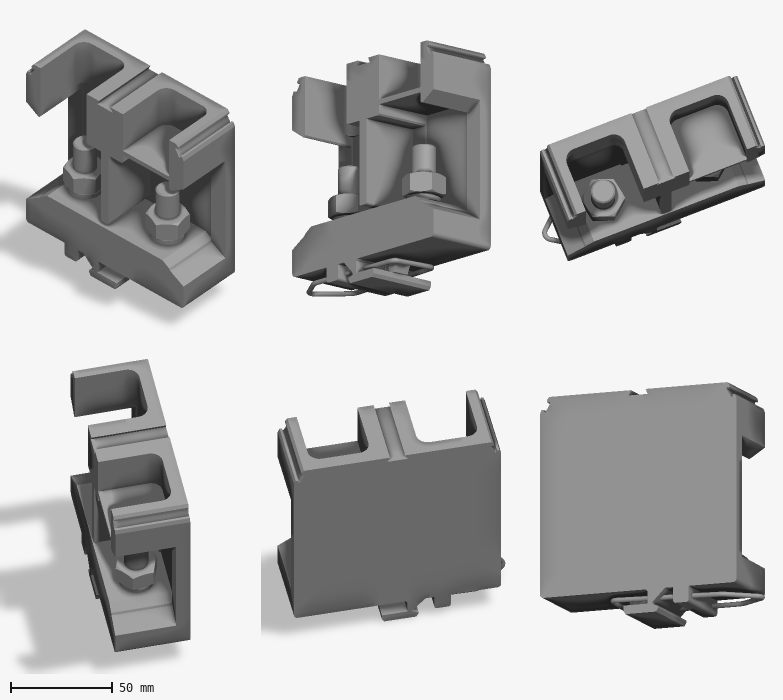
import cadquery as cq
import math


width = 104.9
depth = 38.0
housing_top = 101.4
half_width = width / 2
bottom_fillet = 2.0

bay_center_x = 27.5
bay_width = 30.7
bay_depth = 31.4
bay_fillet = 5.9
bay_inner_x = bay_center_x - bay_width / 2
bay_outer_x = bay_center_x + bay_width / 2
shelf_bottom = 75.7
shelf_thickness = 2.6

window_depth = 30.9
recess_depth = 31.8
base_top = 23.4
block_bottom = 70.3
block_chamfer = 0.8
window_outer_top = 75.4
window_outer_bottom = 14.1
slope_end_x = 44.3
base_flat_half_width = 38.4
ledge_top = 20.5
ledge_bottom = 19.5
ledge_width = 0.7

partition_thickness = 5.1
partition_bottom = 26.7
partition_fillet = 1.0

groove_top_width = 7.7
groove_bottom_width = 10.2
groove_depth = 2.6

peg_left = -26.9
peg_right = -18.7
peg_bottom = -8.0
peg_fillet = 1.4
foot_bottom = -11.6
foot_slot_bottom = -7.2
foot_stem_right = -5.1

stud_diameter = 12.0
stud_y = 15.9
stud_top = 53.8
stud_chamfer = 0.8
stud_embed = 1.1
nut_across_flats = 19.0
nut_bottom = 28.4
nut_top = 38.4
nut_angle = 40.0
nut_chamfer_angle = 30.0
washer_width = 2.8
washer_overlap = 0.1
washer_split_angle = 155.0

wire_diameter = 2.5
wire_z = -4.0
wire_front_y = 5.8
wire_back_y = 32.5
wire_tip_x = -59.8
wire_tip_y = 17.0
wire_shoulder_x = -42.7
wire_end_x = 16.5
wire_back_sag = 0.3
wire_back_rise = 1.0
wire_tip_bend = 3.4
wire_shoulder_bend = 6.8
wire_end_bend = 2.8
coil_wire_diameter = 0.7
coil_radius = 2.6
coil_z = -4.1
coil_turns = 4
coil_embed = 0.6
latch_y = 17.0
plunger_left = 2.7
plunger_width = 9.0
plunger_round = 3.2


def prism(points, length, start=0.0):
    """Extrude an XZ outline along +Y from Y = start."""
    plane = cq.Workplane("XZ", origin=(0, start, 0))
    return plane.polyline(points).close().extrude(-length)


def mirrored(right_half):
    """Complete a right-hand chain of points with its mirror image across X = 0."""
    return right_half + [(-x, z) for x, z in reversed(right_half)]


def housing_blank():
    """Outer outline with the marker-strip hooks at both upper corners."""
    right_half = [
        (half_width, 0),
        (half_width, 92.9),
        (51.5, 95.1),
        (50.3, 95.1),
        (50.2, 94.1),
        (49.5, 93.7),
        (46.9, 98.2),
        (47.5, 98.9),
        (48.2, 98.5),
        (48.7, 98.9),
        (48.7, 99.8),
        (47.5, housing_top),
    ]
    blank = prism(mirrored(right_half), depth)
    blank = blank.edges("|Y and <Z").fillet(bottom_fillet)
    groove = [
        (groove_bottom_width / 2, housing_top - groove_depth),
        (groove_top_width / 2, housing_top),
    ]
    return blank.cut(prism(mirrored(groove), depth))


def window():
    """Opening from side to side, bounded by the base below and the block above."""
    lower = [
        (base_flat_half_width, base_top),
        (bay_outer_x, ledge_top),
        (bay_outer_x + ledge_width, ledge_bottom),
        (half_width, window_outer_bottom),
    ]
    upper = [
        (half_width, window_outer_top),
        (slope_end_x, block_bottom),
        (bay_outer_x + block_chamfer, block_bottom),
        (bay_outer_x, block_bottom + block_chamfer),
        (bay_outer_x, shelf_bottom),
        (bay_inner_x, shelf_bottom),
        (bay_inner_x, block_bottom + block_chamfer),
        (bay_inner_x - block_chamfer, block_bottom),
    ]
    return prism(mirrored(lower + upper), window_depth)


def bay_pocket(center_x, bottom):
    """Pocket open to the top and front, with rounded rear corners."""
    height = housing_top - bottom
    pocket = cq.Workplane("XY").box(bay_width, bay_depth, height, centered=(True, False, False))
    pocket = pocket.edges("|Z and >Y").fillet(bay_fillet)
    return pocket.translate((center_x, 0, bottom))


def bay_recess(center_x):
    """Shallow recess in the rear wall of the window, as wide as the bay."""
    outline = [
        (bay_width / 2, ledge_top),
        (bay_width / 2, shelf_bottom),
        (-bay_width / 2, shelf_bottom),
        (-bay_width / 2, base_top),
        (bay_width / 2 - (bay_outer_x - base_flat_half_width), base_top),
    ]
    side = math.copysign(1, center_x)
    points = [(center_x + side * x, z) for x, z in outline]
    return prism(points, recess_depth - window_depth, window_depth)


def partition():
    """Thin wall hanging from the block, stopping short of the base."""
    height = block_bottom - partition_bottom
    wall = cq.Workplane("XY").box(partition_thickness, depth, height, centered=(True, False, False))
    wall = wall.edges("|Y and <Z").fillet(partition_fillet)
    return wall.translate((0, 0, partition_bottom))


def rail_foot():
    """Locating peg and hooked foot below the base."""
    peg_size = (peg_right - peg_left, depth, -peg_bottom)
    peg = cq.Workplane("XY").box(*peg_size, centered=False)
    peg = peg.edges("|Y and <Z").fillet(peg_fillet)
    hook = [
        (-14.2, 0),
        (-7.6, -6.7),
        (-7.6, -7.6),
        (-10.6, -8.8),
        (-10.6, -9.7),
        (-9.4, foot_bottom),
        (6.8, foot_bottom),
        (7.9, -10.0),
        (7.9, foot_slot_bottom),
        (foot_stem_right, foot_slot_bottom),
        (foot_stem_right, -1.0),
        (-4.1, 0),
    ]
    return peg.translate((peg_left, 0, peg_bottom)).union(prism(hook, depth))


def nut():
    """Hexagon nut with both ends chamfered on a cone."""
    corner_radius = nut_across_flats / 2 / math.cos(math.pi / 6)
    flat_radius = nut_across_flats / 2
    cone_drop = (corner_radius - flat_radius) * math.tan(math.radians(nut_chamfer_angle))
    height = nut_top - nut_bottom
    hexagon = cq.Workplane("XY").polygon(6, 2 * corner_radius).extrude(height)
    hexagon = hexagon.rotate((0, 0, 0), (0, 0, 1), nut_angle)
    envelope = (
        cq.Workplane("XY")
        .circle(corner_radius)
        .extrude(height)
        .faces("<Z or >Z")
        .chamfer(cone_drop, corner_radius - flat_radius)
    )
    return hexagon.intersect(envelope).translate((0, 0, nut_bottom))


def spring_washer():
    """Split lock washer: one left-handed turn of a rectangular bar."""
    pitch = (nut_bottom - base_top) / 2
    inner_radius = stud_diameter / 2 - washer_overlap
    helix = cq.Wire.makeHelix(pitch, pitch, inner_radius, lefthand=True)
    ring = (
        cq.Workplane("XZ")
        .moveTo(inner_radius, 0)
        .rect(washer_width + washer_overlap, pitch, centered=False)
        .sweep(cq.Workplane(helix), isFrenet=True)
    )
    return ring.rotate((0, 0, 0), (0, 0, 1), washer_split_angle).translate((0, 0, base_top))


def stud_assembly():
    """Threaded stud on the Z axis with its nut and washer."""
    stud = cq.Workplane("XY").circle(stud_diameter / 2).extrude(stud_top - base_top + stud_embed)
    stud = stud.faces(">Z").chamfer(stud_chamfer).translate((0, 0, base_top - stud_embed))
    return stud.union(nut()).union(spring_washer())


def bend(before, corner, after, radius):
    """Arc that rounds a corner of the wire; gives its first, middle and last points."""
    inward = (before - corner).normalized()
    outward = (after - corner).normalized()
    half_angle = inward.getAngle(outward) / 2
    tangent_length = radius / math.tan(half_angle)
    middle_distance = radius / math.sin(half_angle) - radius
    middle = corner + (inward + outward).normalized() * middle_distance
    return corner + inward * tangent_length, middle, corner + outward * tangent_length


def latch_wire():
    """Closed loop of round wire with a pointed grip, passing through the foot."""
    start = cq.Vector((peg_left + peg_right) / 2, wire_front_y, wire_z)
    corners = [
        (cq.Vector(wire_end_x, wire_front_y, wire_z), wire_end_bend),
        (cq.Vector(wire_end_x, wire_back_y, wire_z + wire_back_rise), wire_end_bend),
        (cq.Vector(wire_shoulder_x, wire_back_y, wire_z - wire_back_sag), wire_shoulder_bend),
        (cq.Vector(wire_tip_x, wire_tip_y, wire_z), wire_tip_bend),
        (cq.Vector(wire_shoulder_x, wire_front_y, wire_z), wire_shoulder_bend),
    ]
    points = [start] + [corner for corner, _ in corners] + [start]
    edges = []
    position = start
    for index, (corner, radius) in enumerate(corners, start=1):
        first, middle, last = bend(points[index - 1], corner, points[index + 1], radius)
        edges.append(cq.Edge.makeLine(position, first))
        edges.append(cq.Edge.makeThreePointArc(first, middle, last))
        position = last
    edges.append(cq.Edge.makeLine(position, start))
    path = cq.Wire.assembleEdges(edges)
    section = cq.Workplane("YZ", origin=start.toTuple()).circle(wire_diameter / 2)
    return section.sweep(cq.Workplane(path))


def latch_spring():
    """Coil along X between the foot stem and the plunger."""
    length = plunger_left - foot_stem_right + 2 * coil_embed
    origin = cq.Vector(foot_stem_right - coil_embed, latch_y, coil_z)
    helix = cq.Wire.makeHelix(length / coil_turns, length, coil_radius)
    coil = (
        cq.Workplane("XZ")
        .center(coil_radius, 0)
        .circle(coil_wire_diameter / 2)
        .sweep(cq.Workplane(helix), isFrenet=True)
    )
    return coil.rotate((0, 0, 0), (0, 1, 0), 90).translate(origin)


def plunger():
    """Sliding block under the base, rounded towards the spring."""
    outline = [
        (plunger_left, 0),
        (10.0, 0),
        (11.3, -2.5),
        (9.7, -5.7),
        (9.2, foot_slot_bottom),
        (plunger_left, foot_slot_bottom),
    ]
    block = prism(outline, plunger_width, latch_y - plunger_width / 2)
    return block.edges("|Z and <X").fillet(plunger_round)


body = housing_blank().cut(window())
body = body.cut(bay_pocket(-bay_center_x, shelf_bottom))
body = body.cut(bay_pocket(bay_center_x, shelf_bottom + shelf_thickness))
for side in (-1, 1):
    body = body.cut(bay_recess(side * bay_center_x))
body = body.union(partition()).union(rail_foot())
for side in (-1, 1):
    body = body.union(stud_assembly().translate((side * bay_center_x, stud_y, 0)))
result = body.union(plunger()).union(latch_wire()).union(latch_spring())